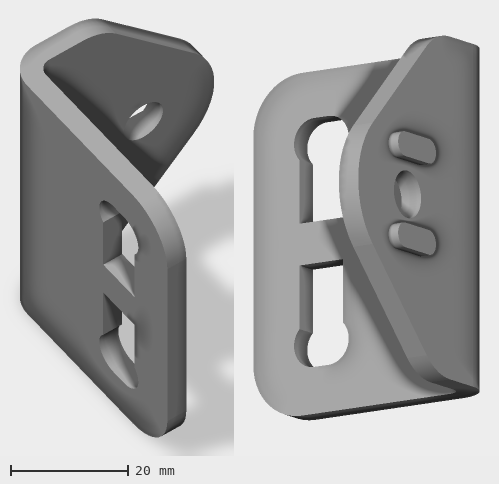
import cadquery as cq
import math

height = 60.0
thickness = 4.0
inner_bend_radius = 2.45
outer_bend_radius = inner_bend_radius + thickness

plate_length = 47.05
plate_corner_radius = 10.0

slot_x = 33.0
slot_width = 9.0
slot_end_z = 3.65
slot_head_z = 17.65
slot_head_diameter = 8.3
slot_head_width = 11.3

flange_length = 41.45
flange_nose_radius = 15.0
flange_shoulder_radius = 10.0
flange_slope = math.radians(45)
pivot_diameter = 8.3
pivot_y = flange_length - flange_nose_radius

pad_length = 11.5
pad_width = 4.3
pad_height = 2.0
pad_offset_z = 8.0


def bent_sheet():
    """L-shaped sheet with concentric bend radii, extruded over the full height."""
    bend_diagonal = math.sqrt(0.5)
    outer_mid = outer_bend_radius * (1 - bend_diagonal)
    inner_mid = outer_bend_radius - inner_bend_radius * bend_diagonal
    return (
        cq.Workplane("XY", origin=(0, 0, -height / 2))
        .moveTo(outer_bend_radius, 0)
        .lineTo(plate_length, 0)
        .lineTo(plate_length, thickness)
        .lineTo(outer_bend_radius, thickness)
        .threePointArc((inner_mid, inner_mid), (thickness, outer_bend_radius))
        .lineTo(thickness, flange_length)
        .lineTo(0, flange_length)
        .lineTo(0, outer_bend_radius)
        .threePointArc((outer_mid, outer_mid), (outer_bend_radius, 0))
        .close()
        .extrude(height)
    )


def flange_blank():
    """Prism carrying the flange outline: sloped sides blending into a round nose."""
    half_height = height / 2
    cos_slope = math.cos(flange_slope)
    sin_slope = math.sin(flange_slope)
    nose_y = pivot_y + flange_nose_radius * sin_slope
    nose_z = flange_nose_radius * cos_slope
    corner_y = nose_y - (half_height - nose_z) / math.tan(flange_slope)
    outline = (
        cq.Workplane("YZ")
        .moveTo(0, -half_height)
        .lineTo(corner_y, -half_height)
        .lineTo(nose_y, -nose_z)
        .threePointArc((flange_length, 0), (nose_y, nose_z))
        .lineTo(corner_y, half_height)
        .lineTo(0, half_height)
        .close()
        .extrude(plate_length)
    )
    shoulders = cq.selectors.BoxSelector(
        (-0.6, corner_y - 0.6, -height), (plate_length + 0.6, corner_y + 0.6, height), boundingbox=False
    )
    return outline.edges("|X").edges(shoulders).fillet(flange_shoulder_radius)


def keyhole(side):
    """Cutter for one keyhole slot; side is +1 for the upper slot, -1 for the lower."""
    neck_length = slot_head_z - slot_end_z
    neck_z = side * (slot_head_z + slot_end_z) / 2
    neck = cq.Workplane("XZ").center(slot_x, neck_z).rect(slot_width, neck_length).extrude(-thickness)
    head = (
        cq.Workplane("XZ")
        .center(slot_x, side * slot_head_z)
        .slot2D(slot_head_width, slot_head_diameter)
        .extrude(-thickness)
    )
    return neck.union(head)


bracket = bent_sheet().edges("|Y and >X").fillet(plate_corner_radius)
bracket = bracket.intersect(flange_blank())

for side in (-1, 1):
    bracket = bracket.cut(keyhole(side))

pivot_hole = cq.Workplane("YZ").center(pivot_y, 0).circle(pivot_diameter / 2).extrude(thickness)
bracket = bracket.cut(pivot_hole)

pads = (
    cq.Workplane("YZ")
    .pushPoints([(pivot_y, -pad_offset_z), (pivot_y, pad_offset_z)])
    .slot2D(pad_length, pad_width)
    .extrude(-pad_height)
)

result = bracket.union(pads)